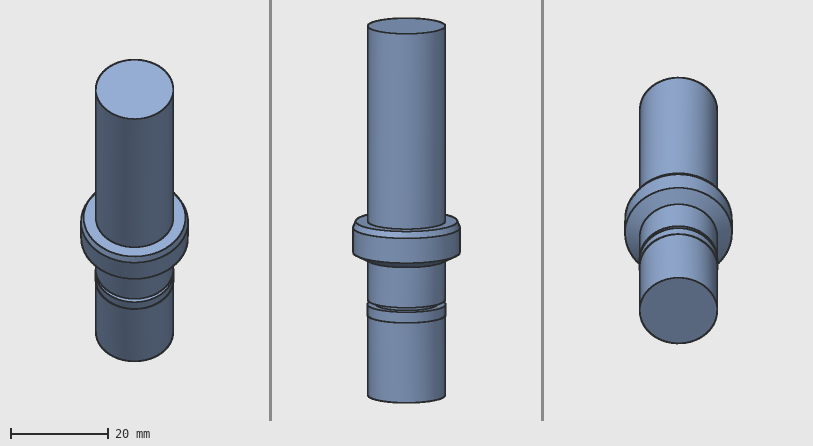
import cadquery as cq

total_length = 77.5
pin_radius = 8.0

collar_radius = 11.0
collar_cone_bottom = 28.45
collar_rim_bottom = 30.0
collar_rim_top = 35.2
collar_top = 36.5
collar_top_radius = 10.5

groove_bottom = 19.1
groove_top = 20.0
groove_radius = 6.3

land_bottom = 16.8
land_radius = 8.05


def make_pin():
    """Plain round pin standing on the XY plane."""
    return cq.Workplane("XY").circle(pin_radius).extrude(total_length)


def make_collar():
    """Solid of revolution about Z for the collar."""
    return (
        cq.Workplane("XZ")
        .moveTo(0, collar_cone_bottom)
        .lineTo(pin_radius, collar_cone_bottom)
        .lineTo(collar_radius, collar_rim_bottom)
        .lineTo(collar_radius, collar_rim_top)
        .lineTo(collar_top_radius, collar_top)
        .lineTo(0, collar_top)
        .close()
        .revolve(360, (0, 0, 0), (0, 1, 0))
    )


def make_land():
    """Raised land reaching up to the lower groove wall."""
    return (
        cq.Workplane("XY")
        .workplane(offset=land_bottom)
        .circle(land_radius)
        .extrude(groove_bottom - land_bottom)
    )


def make_groove():
    """Ring removed from the pin to form the groove."""
    return (
        cq.Workplane("XY")
        .workplane(offset=groove_bottom)
        .circle(collar_radius)
        .circle(groove_radius)
        .extrude(groove_top - groove_bottom)
    )


result = make_pin().union(make_collar()).union(make_land()).cut(make_groove())